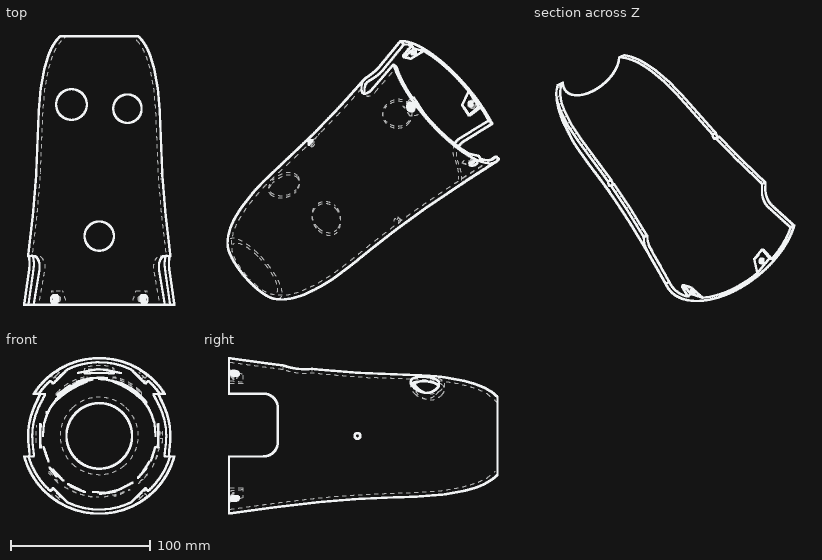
import cadquery as cq
import math

length = 192.7
mouth_radius = 55.895
nose_radius = 27.9
wall = 3.0

outer_stations = [
    (26.0, 52.3),
    (54.0, 48.8),
    (89.0, 45.6),
    (131.0, 43.8),
    (152.4, 42.4),
    (166.4, 40.1),
    (178.7, 36.6),
    (187.5, 32.3),
]

notch_depth = 35.0
notch_top = 30.2
notch_bottom = -14.6
notch_corner_radius = 10.0

upper_openings = [
    (0.0, 49.2, 21.0),
    (-19.9, 143.6, 22.0),
    (20.2, 140.6, 20.4),
]

pin_hole_diameter = 4.0
pin_hole_y = 92.2

pad_tilt = 45.0
pad_face_distance = 49.9
pad_length = 10.0
pad_edge = 3.1
pad_far_edge = 20.0
screw_offset = 9.1
screw_y = 4.1
screw_hole_diameter = 3.4
screw_head_diameter = 6.0
screw_seat = 2.5


def outer_body():
    """Solid bounded by the outer surface, as two half-turn revolutions that meet at Z = 0."""
    stations = [(-radius, y) for y, radius in outer_stations]
    profile = (
        cq.Workplane("XY")
        .moveTo(0, 0)
        .lineTo(-mouth_radius, 0)
        .spline(stations + [(-nose_radius, length)], includeCurrent=True)
        .lineTo(0, length)
        .close()
    )
    half = profile.revolve(180, (0, 0, 0), (0, 1, 0))
    return half.union(half.rotate((0, 0, 0), (0, 1, 0), 180), clean=False)


def pad_workplane(distance):
    """Workplane of the +X +Z pad at a distance from the axis: local x along Y, local y sideways toward +Z."""
    tilt = math.radians(pad_tilt)
    frame = cq.Plane(origin=(0, 0, 0), xDir=(0, 1, 0), normal=(math.cos(tilt), 0, math.sin(tilt)))
    return cq.Workplane(frame).workplane(offset=distance)


def in_four_quadrants(shape):
    """The shape and its mirror images about the YZ and XY planes."""
    right_pair = [shape, shape.mirror("XY")]
    left_pair = [copy.mirror("YZ") for copy in right_pair]
    return right_pair + left_pair


def screw_pad():
    """Block whose flat face points at the axis; only its part inside the cavity matters."""
    return (
        pad_workplane(pad_face_distance)
        .moveTo(0, pad_edge)
        .rect(pad_length, pad_far_edge - pad_edge, centered=False)
        .extrude(mouth_radius - pad_face_distance)
    )


def screw_cutter():
    """Through hole with a wider recess for the screw head on the outside."""
    inside = pad_face_distance - wall
    seat = pad_face_distance + screw_seat
    outside = mouth_radius + wall
    hole = (
        pad_workplane(inside)
        .center(screw_y, screw_offset)
        .circle(screw_hole_diameter / 2)
        .extrude(outside - inside)
    )
    head = (
        pad_workplane(seat)
        .center(screw_y, screw_offset)
        .circle(screw_head_diameter / 2)
        .extrude(outside - seat)
    )
    return hole.union(head)


def notch_cutter():
    height = notch_top - notch_bottom
    return (
        cq.Workplane("XY")
        .box(4 * mouth_radius, 2 * notch_depth, height)
        .edges("|X and >Y")
        .fillet(notch_corner_radius)
        .translate((0, 0, (notch_top + notch_bottom) / 2))
    )


def opening_cutter(x, y, diameter):
    return cq.Workplane("XY").center(x, y).circle(diameter / 2).extrude(2 * mouth_radius)


def pin_hole_cutter():
    return (
        cq.Workplane("YZ")
        .center(pin_hole_y, 0)
        .circle(pin_hole_diameter / 2)
        .extrude(2 * mouth_radius, both=True)
    )


body = outer_body()

cavity = body.cut(body.faces("<Y or >Y").shell(-wall), clean=False)
for pad in in_four_quadrants(screw_pad()):
    cavity = cavity.cut(pad, clean=False)

sleeve = body.cut(cavity, clean=False)

for cutter in in_four_quadrants(screw_cutter()):
    sleeve = sleeve.cut(cutter, clean=False)

sleeve = sleeve.cut(notch_cutter(), clean=False)
sleeve = sleeve.cut(pin_hole_cutter(), clean=False)
for x, y, diameter in upper_openings:
    sleeve = sleeve.cut(opening_cutter(x, y, diameter), clean=False)

result = cq.Workplane(sleeve.solids().val())